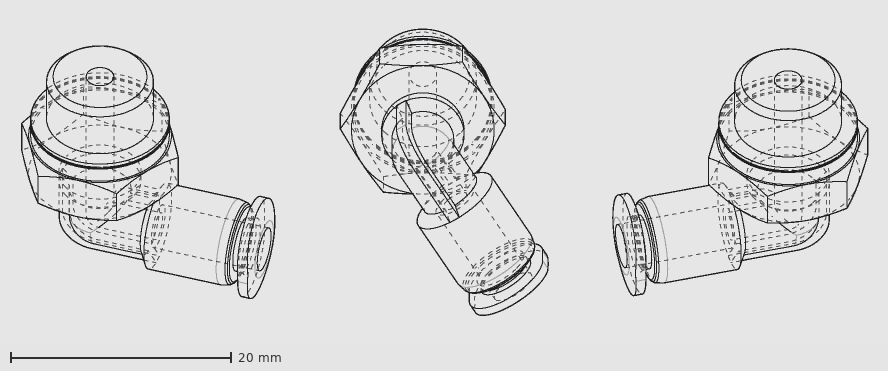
import cadquery as cq
import math


overall_length = 23.2

stud_top = 16.5
stud_radius = 9.72 / 2
stud_chamfer = 0.6
washer_top = 11.47
washer_bottom = 11.0
washer_radius = 12.6 / 2
groove_bottom = 10.86
groove_depth = 0.1

hex_top = 9.4
hex_bottom = 5.0
hex_across_flats = 13.0
hex_corner_radius = hex_across_flats / math.sqrt(3)
hex_face_diameter = 12.97
hex_chamfer_angle = 30

boss_radius = 7.5 / 2
boss_bottom = 4.02
boss_cone_bottom = 3.05
elbow_radius = 2.8
web_thickness = 1.0
web_corner_radius = 3.0

body_radius = 8.0 / 2
body_cone_start = 4.78
body_start = 5.52
nose_start = 12.45
nose_bevel_start = 13.23
nose_bevel_radius = 3.83
lip_start = 13.42
lip_radius = 7.38 / 2
body_end = 13.53
body_end_radius = 3.5

neck_radius = 5.0 / 2
flare_start = 14.11
flare_radius = 2.65
button_start = 14.45
button_width = 7.82
button_height = 9.8
button_rim = 15.23
button_end = overall_length - hex_corner_radius
button_face_radius = 2.67

bore_diameter = 2.5
tube_diameter = 4.0
tube_stop = 5.57


def turned_about_z(profile):
    """Revolve (radius, z) points about the thread axis."""
    return cq.Workplane("XZ").polyline(profile).close().revolve(360, (0, 0), (0, 1))


def cylinder_x(radius, start, end):
    return cq.Workplane("YZ").workplane(offset=start).circle(radius).extrude(end - start)


def make_stud():
    groove_radius = washer_radius - groove_depth
    return turned_about_z([
        (0, hex_bottom),
        (washer_radius, hex_bottom),
        (washer_radius, groove_bottom),
        (groove_radius, groove_bottom),
        (groove_radius, washer_bottom),
        (washer_radius, washer_bottom),
        (washer_radius, washer_top),
        (stud_radius, washer_top),
        (stud_radius, stud_top - stud_chamfer),
        (stud_radius - stud_chamfer, stud_top),
        (0, stud_top),
    ])


def make_hexagon():
    face_radius = hex_face_diameter / 2
    chamfer_drop = (hex_corner_radius - face_radius) * math.tan(math.radians(hex_chamfer_angle))
    prism = (
        cq.Workplane("XY")
        .workplane(offset=hex_bottom)
        .polygon(6, 2 * hex_corner_radius)
        .extrude(hex_top - hex_bottom)
    )
    chamfer_envelope = turned_about_z([
        (0, hex_bottom),
        (face_radius, hex_bottom),
        (hex_corner_radius, hex_bottom + chamfer_drop),
        (hex_corner_radius, hex_top - chamfer_drop),
        (face_radius, hex_top),
        (0, hex_top),
    ])
    return prism.intersect(chamfer_envelope)


def make_elbow():
    upright = turned_about_z([
        (0, 0),
        (elbow_radius, 0),
        (elbow_radius, boss_cone_bottom),
        (boss_radius, boss_bottom),
        (boss_radius, hex_bottom),
        (0, hex_bottom),
    ])
    branch = cylinder_x(elbow_radius, 0, body_start)
    knuckle = cq.Workplane("XY").sphere(elbow_radius)
    return upright.union(branch).union(knuckle)


def make_web():
    length = boss_radius + body_start
    height = boss_bottom + body_radius
    return (
        cq.Workplane("XY")
        .box(length, web_thickness, height, centered=(False, True, False))
        .translate((-boss_radius, 0, -body_radius))
        .edges("|Y and <X and <Z")
        .fillet(web_corner_radius)
    )


def make_port_body():
    return (
        cq.Workplane("XZ")
        .moveTo(body_cone_start, 0)
        .lineTo(body_cone_start, elbow_radius)
        .lineTo(body_start, body_radius)
        .lineTo(nose_start, body_radius)
        .lineTo(nose_bevel_start, nose_bevel_radius)
        .lineTo(lip_start, lip_radius)
        .lineTo(body_end, body_end_radius)
        .lineTo(body_end, neck_radius)
        .lineTo(flare_start, neck_radius)
        .lineTo(button_start, flare_radius)
        .lineTo(button_start, 0)
        .close()
        .revolve(360, (0, 0), (1, 0))
    )


def make_button():
    rim_radius = button_height / 2
    plate = (
        cq.Workplane("YZ")
        .workplane(offset=button_start)
        .slot2D(button_height, button_width, 90)
        .extrude(button_end - button_start)
    )
    crown = (
        cq.Workplane("XZ")
        .polyline([
            (button_start, 0),
            (button_start, rim_radius),
            (button_rim, rim_radius),
            (button_end, button_face_radius),
            (button_end, 0),
        ])
        .close()
        .revolve(360, (0, 0), (1, 0))
    )
    return plate.intersect(crown)


def make_bores():
    bore_radius = bore_diameter / 2
    stud_bore = cq.Workplane("XY").circle(bore_radius).extrude(stud_top)
    branch_bore = cylinder_x(bore_radius, 0, tube_stop)
    bore_corner = cq.Workplane("XY").sphere(bore_radius)
    tube_socket = cylinder_x(tube_diameter / 2, tube_stop, button_end)
    return stud_bore.union(branch_bore).union(bore_corner).union(tube_socket)


fitting = make_stud()
for piece in (make_hexagon(), make_elbow(), make_web(), make_port_body(), make_button()):
    fitting = fitting.union(piece)
result = fitting.cut(make_bores())